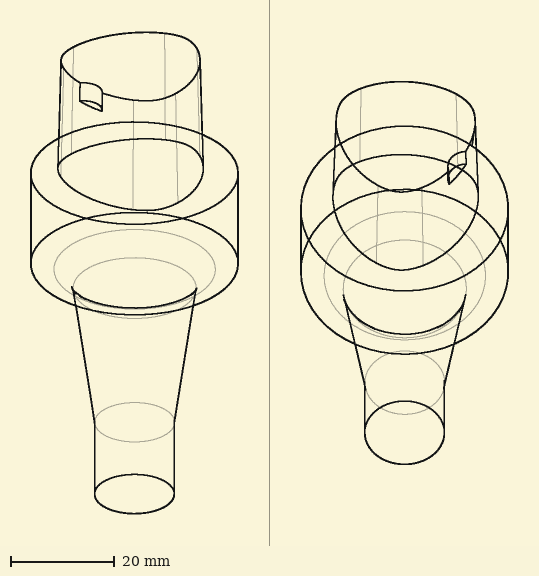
import cadquery as cq
import math

total_height = 95.0
shank_top = 16.0
flange_bottom = 51.0
flange_top = 71.1

shank_radius = 15.4 / 2
flange_radius = 40.0 / 2
neck_half_angle = math.radians(8)
underside_angle = math.radians(15)
neck_fillet = 5.0

lobe_mean_diameter = 28.0
lobe_offset = 0.95
coupling_taper = 1 / 20
lobe_sections = 6
points_per_section = 8

keyway_radius = 3.6
keyway_floor_y = -10.8
keyway_depth = 4.0


def make_body():
    """Shank, conical neck and flange, turned about Z."""
    neck_slope = math.tan(neck_half_angle)
    underside_slope = math.tan(underside_angle)
    rise_to_flange = flange_bottom - shank_top - underside_slope * (flange_radius - shank_radius)
    corner_rise = rise_to_flange / (1 - underside_slope * neck_slope)
    corner_radius = shank_radius + corner_rise * neck_slope
    corner_z = shank_top + corner_rise

    body = (
        cq.Workplane("XZ")
        .lineTo(shank_radius, 0)
        .lineTo(shank_radius, shank_top)
        .lineTo(corner_radius, corner_z)
        .lineTo(flange_radius, flange_bottom)
        .lineTo(flange_radius, flange_top)
        .lineTo(0, flange_top)
        .close()
        .revolve(360, (0, 0), (0, 1))
    )
    tolerance = 0.1
    corner_edge = cq.selectors.BoxSelector(
        (-flange_radius, -flange_radius, corner_z - tolerance),
        (flange_radius, flange_radius, corner_z + tolerance),
        boundingbox=True,
    )
    return body.edges(corner_edge).fillet(neck_fillet)


def lobe_point(normal_angle, mean_diameter):
    """Point and tangent of the constant-width outline, with one lobe toward +Y."""
    phase = 3 * (normal_angle - math.pi / 2)
    reach = mean_diameter / 2 + lobe_offset * math.cos(phase)
    shift = -3 * lobe_offset * math.sin(phase)
    cosine = math.cos(normal_angle)
    sine = math.sin(normal_angle)
    point = (reach * cosine - shift * sine, reach * sine + shift * cosine)
    tangent = (-sine, cosine)
    return point, tangent


def lobe_outline(mean_diameter, z):
    """Closed outline with a smooth joint between each lobe and flank."""
    section_angle = 2 * math.pi / lobe_sections
    outline = cq.Workplane("XY", origin=(0, 0, z)).moveTo(*lobe_point(0, mean_diameter)[0])
    for section in range(lobe_sections):
        samples = [
            lobe_point((section + step / points_per_section) * section_angle, mean_diameter)
            for step in range(points_per_section + 1)
        ]
        points = [point for point, tangent in samples]
        end_tangents = [samples[0][1], samples[-1][1]]
        outline = outline.spline(points[1:], tangents=end_tangents, includeCurrent=True)
    return outline.wire().val()


def make_coupling():
    """Tapered three-lobed stub standing on the flange."""
    top_diameter = lobe_mean_diameter - coupling_taper * (total_height - flange_top)
    base = lobe_outline(lobe_mean_diameter, flange_top)
    top = lobe_outline(top_diameter, total_height)
    return cq.Workplane(cq.Solid.makeLoft([base, top], True))


def make_keyway():
    """Vertical cylindrical cutter, open at the top of the coupling."""
    return (
        cq.Workplane("XY", origin=(0, 0, total_height - keyway_depth))
        .center(0, keyway_floor_y - keyway_radius)
        .circle(keyway_radius)
        .extrude(keyway_depth)
    )


result = make_body().union(make_coupling()).cut(make_keyway())